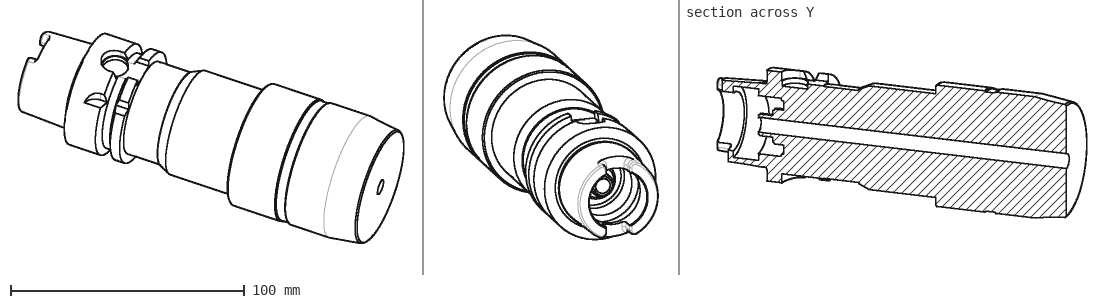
import cadquery as cq
import math


overall_length = 161.7
shank_front_radius = 18.1
shank_back_radius = 19.0
shank_length = 22.8
relief_radius = 37.8 / 2
relief_front = 23.3
relief_back = 24.4
relief_mouth_radius = 20.2
shank_end_fillet = 0.8

flange_front = 24.9
flange_back = 50.8
flange_radius = 25.0
groove_radius = 21.5
groove_mouth_front = 39.5
groove_floor_front = 41.0
groove_floor_back = 44.6
groove_mouth_back = 46.4

neck_radius = 41.7 / 2
cone_front = 66.8
cone_front_radius = 21.3
cone_back = 71.6
body_radius = 47.0 / 2

head_front = 101.9
head_radius = 55.0 / 2
head_chamfer = 0.6
ring_groove_front = 124.3
ring_groove_back = 129.4
ring_groove_depth = 0.5
nose_front = 147.1
nose_end_radius = 25.5
nose_chamfer = 0.6

mouth_radius = 26.7 / 2
bore_radius = 26.0 / 2
mouth_chamfer = mouth_radius - bore_radius
bore_length = 9.7
recess_radius = 32.0 / 2
recess_back = 21.0
bore_floor = 32.3
floor_fillet = 1.1
pilot_radius = 9.7

nut_front = 27.5
nut_radius = 16.0 / 2
nut_chamfer = 1.0
tube_front = 21.0
tube_radius = 10.0 / 2
tube_chamfer = 0.8
passage_radius = 6.5 / 2

driver_width = 10.3
driver_depth_top = 4.4
driver_depth_bottom = 7.1
driver_edge_fillet = 2.3
driver_floor_fillet = 1.3

keyway_floor = 21.0
keyway_front = 31.7
keyway_width_top = 12.0
keyway_width_bottom = 14.0
pocket_diameter = 11.3
pocket_depth = 2.3

notch_inset = 15.5


def turned_body():
    """Outside of the holder, revolved about X."""
    ring_groove_radius = head_radius - ring_groove_depth
    outline = [
        (0, 0),
        (0, shank_front_radius),
        (shank_length, shank_back_radius),
        (relief_front, relief_radius),
        (relief_back, relief_radius),
        (flange_front, relief_mouth_radius),
        (flange_front, flange_radius),
        (groove_mouth_front, flange_radius),
        (groove_floor_front, groove_radius),
        (groove_floor_back, groove_radius),
        (groove_mouth_back, flange_radius),
        (flange_back, flange_radius),
        (flange_back, neck_radius),
        (cone_front, neck_radius),
        (cone_front, cone_front_radius),
        (cone_back, body_radius),
        (head_front, body_radius),
        (head_front, head_radius - head_chamfer),
        (head_front + head_chamfer, head_radius),
        (ring_groove_front, head_radius),
        (ring_groove_front + ring_groove_depth, ring_groove_radius),
        (ring_groove_back - ring_groove_depth, ring_groove_radius),
        (ring_groove_back, head_radius),
        (nose_front, head_radius),
        (overall_length - nose_chamfer, nose_end_radius),
        (overall_length, nose_end_radius - nose_chamfer),
        (overall_length, 0),
    ]
    return cq.Workplane("XY").polyline(outline).close().revolve(360, (0, 0, 0), (1, 0, 0))


def shank_hollow():
    """Hollow of the shank around the coolant tube and its nut, with the passage through the holder."""
    outline = (
        cq.Workplane("XY")
        .moveTo(0, 0)
        .lineTo(0, mouth_radius)
        .lineTo(mouth_chamfer, bore_radius)
        .lineTo(bore_length, bore_radius)
        .lineTo(bore_length, recess_radius)
        .lineTo(recess_back, recess_radius)
        .lineTo(recess_back, bore_radius)
        .lineTo(bore_floor - floor_fillet, bore_radius)
        .radiusArc((bore_floor, bore_radius - floor_fillet), -floor_fillet)
        .lineTo(bore_floor, nut_radius)
        .lineTo(nut_front + nut_chamfer, nut_radius)
        .lineTo(nut_front, nut_radius - nut_chamfer)
        .lineTo(nut_front, tube_radius)
        .lineTo(tube_front + tube_chamfer, tube_radius)
        .lineTo(tube_front, tube_radius - tube_chamfer)
        .lineTo(tube_front, passage_radius)
        .lineTo(overall_length, passage_radius)
        .lineTo(overall_length, 0)
        .close()
    )
    return outline.revolve(360, (0, 0, 0), (1, 0, 0))


def turned_to_side(cutter, side):
    """Leave a +Z cutter in place for side +1, or turn it to -Z for side -1."""
    return cutter if side > 0 else cutter.rotate((0, 0, 0), (1, 0, 0), 180)


def driver_slot(depth, side):
    """Slot through one wall of the shank; side is +1 for +Z and -1 for -Z."""
    slot = cq.Workplane("XY").box(depth, driver_width, flange_radius, centered=(False, True, False))
    return turned_to_side(slot, side)


def round_ended_slot(width, height):
    """Slot centered on its round end at the origin, open toward the back of the flange."""
    run_out = flange_back - keyway_front
    straight = cq.Workplane("XY").box(run_out, width, height, centered=(False, True, False))
    return cq.Workplane("XY").circle(width / 2).extrude(height).union(straight)


def keyway(width, side):
    """Keyway that runs out of the back of the flange; side is +1 for +Z and -1 for -Z."""
    slot = round_ended_slot(width, flange_radius - keyway_floor)
    slot = slot.translate((keyway_front + width / 2, 0, keyway_floor))
    return turned_to_side(slot, side)


def keyway_pocket():
    """Round pocket below the closed end of the top keyway."""
    center = keyway_front + keyway_width_top / 2
    height = flange_radius - keyway_floor + pocket_depth
    pocket = cq.Workplane("XY").circle(pocket_diameter / 2).extrude(height)
    return pocket.translate((center, 0, keyway_floor - pocket_depth))


def corner_notch():
    """Notch with two square walls in the -Y, +Z quarter of the flange, round at its front end."""
    radius = keyway_width_top / 2
    notch = round_ended_slot(keyway_width_top, flange_radius - notch_inset)
    return notch.translate((keyway_front + radius, -notch_inset - radius, notch_inset))


def in_slot(x_center, z_inner, z_outer, side):
    """Selector for edges whose centers lie near x_center and between two heights in one driver slot."""
    half_span = 0.8
    z_low, z_high = sorted((side * z_inner, side * z_outer))
    return cq.selectors.BoxSelector(
        (x_center - half_span, -driver_width, z_low),
        (x_center + half_span, driver_width, z_high),
    )


def cut_driver_slot(body, depth, side):
    """Cut one driver slot, round its wall edges on the taper and then its floor corners."""
    wall_height = math.sqrt(shank_front_radius**2 - (driver_width / 2) ** 2)
    edge_margin = 0.5
    body = body.cut(driver_slot(depth, side))
    wall_edges = in_slot(depth / 2, wall_height - edge_margin, wall_height + edge_margin, side)
    body = body.edges(wall_edges).fillet(driver_edge_fillet)
    floor_corners = in_slot(depth, pilot_radius, wall_height, side)
    return body.edges("|Z").edges(floor_corners).fillet(driver_floor_fillet)


holder = turned_body().cut(cq.Workplane("YZ").circle(pilot_radius).extrude(bore_length))
holder = cut_driver_slot(holder, driver_depth_top, 1)
holder = cut_driver_slot(holder, driver_depth_bottom, -1)
holder = holder.faces("<X").edges().fillet(shank_end_fillet)

holder = holder.cut(shank_hollow())
holder = holder.cut(keyway(keyway_width_top, 1)).cut(keyway(keyway_width_bottom, -1))
holder = holder.cut(keyway_pocket())
holder = holder.cut(corner_notch())

result = holder